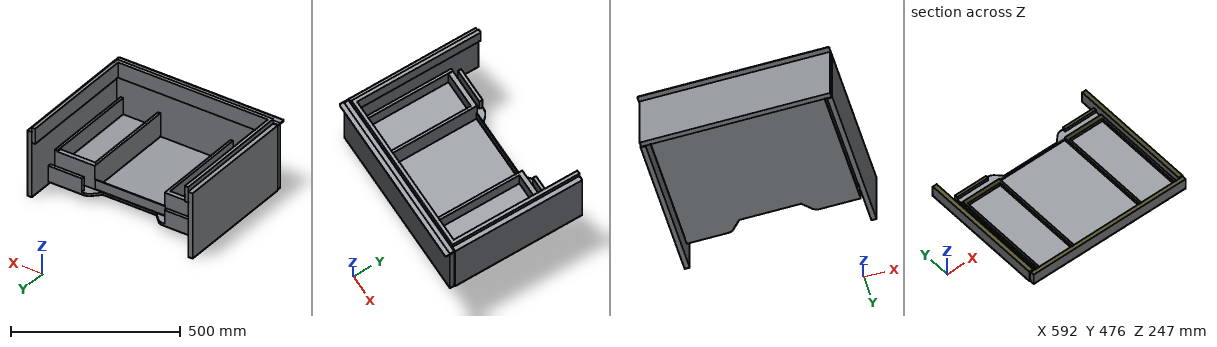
import cadquery as cq

WIDTH = 592.0
DEPTH = 476.0
HEIGHT = 247.0
CENTRE_X = WIDTH / 2

SIDE_THICK = 16.0
SIDE_HEIGHT = 231.0
CABINET_FRONT = 34.0
FRAME_THICK = 12.0
FRAME_DROP = 54.0

FRONT_GAP = 2.1
FRONT_BACK = CABINET_FRONT - FRONT_GAP
FRONT_FACE = 16.5
FRONT_INSET = 2.5
HANDLE_THICK = 3.0
HANDLE_CORNER = 5.0

TRAY_SIDE_X = SIDE_THICK + FRAME_THICK
TRAY_BACK = 373.5
WALL_THICK = 9.0
SIDE_WALL_TOP = 117.0
BOX_TOP = 113.5
BOX_WIDTH = 142.5
BOX_BACK_THICK = 16.0
BOX_FLOOR_TOP = 59.0
BOX_FLOOR_THICK = WALL_THICK
LOW_BACK_TOP = 66.0
LOW_BACK_THICK = 2.5

BASE_TOP = 31.0
BASE_THICK = WALL_THICK
WING_BACK = 407.0
WING_TIP_X = 200.5
WING_CORNER_X = WING_TIP_X - (WING_BACK - TRAY_BACK)
WING_RADIUS = 29.5
RAIL_LENGTH = 120.0
RAIL_THICK = 11.0
RAIL_TOP = 79.0


def block(x0, x1, y0, y1, z0, z1):
    """Rectangular block between two opposite corners."""
    return cq.Workplane("XY").box(x1 - x0, y1 - y0, z1 - z0, centered=False).translate((x0, y0, z0))


def mirrored(shape):
    """Copy of a left-hand shape on the right-hand side of the cabinet."""
    return shape.mirror("YZ", (CENTRE_X, 0, 0))


def make_side_panel():
    """Left cabinet side, a plain board."""
    return block(0, SIDE_THICK, CABINET_FRONT, DEPTH, 0, SIDE_HEIGHT)


def make_frame():
    """Top frame, open at the back, standing above the side panels."""
    outer = block(SIDE_THICK, WIDTH - SIDE_THICK, CABINET_FRONT, DEPTH, HEIGHT - FRAME_DROP, HEIGHT)
    opening = block(
        TRAY_SIDE_X, WIDTH - TRAY_SIDE_X, CABINET_FRONT + FRAME_THICK, DEPTH, HEIGHT - FRAME_DROP, HEIGHT
    )
    return outer.cut(opening)


def make_front_panel():
    """Drawer front, set in slightly from both ends of the handle."""
    return block(FRONT_INSET, WIDTH - FRONT_INSET, FRONT_FACE, FRONT_BACK, 0, SIDE_HEIGHT - HANDLE_THICK)


def make_handle():
    """Thin plate overhanging the drawer front, with rounded front corners."""
    plate = block(0, WIDTH, 0, FRONT_BACK, SIDE_HEIGHT - HANDLE_THICK, SIDE_HEIGHT)
    return plate.edges("|Z and <Y").fillet(HANDLE_CORNER)


def make_compartment():
    """Left compartment: partition, thick back wall and raised floor."""
    inner_x = TRAY_SIDE_X + BOX_WIDTH
    outer = block(TRAY_SIDE_X + WALL_THICK, inner_x, FRONT_BACK, TRAY_BACK, BASE_TOP, BOX_TOP)
    hollow_sides = (TRAY_SIDE_X + WALL_THICK, inner_x - WALL_THICK)
    hollow_ends = (FRONT_BACK, TRAY_BACK - BOX_BACK_THICK)
    above_floor = block(*hollow_sides, *hollow_ends, BOX_FLOOR_TOP, BOX_TOP)
    below_floor = block(*hollow_sides, *hollow_ends, BASE_TOP, BOX_FLOOR_TOP - BOX_FLOOR_THICK)
    return outer.cut(above_floor).cut(below_floor)


def make_tray():
    """Drawer walls and compartments, joined across the back by a low thin wall."""
    side_wall = block(
        TRAY_SIDE_X, TRAY_SIDE_X + WALL_THICK, FRONT_BACK, TRAY_BACK, BASE_TOP, SIDE_WALL_TOP
    )
    left_half = side_wall.union(make_compartment())
    middle_x = TRAY_SIDE_X + BOX_WIDTH
    low_back = block(
        middle_x, WIDTH - middle_x, TRAY_BACK - LOW_BACK_THICK, TRAY_BACK, BASE_TOP, LOW_BACK_TOP
    )
    return left_half.union(low_back).union(mirrored(left_half))


def make_wing():
    """Left rear wing of the base, sloped and rounded at its inner corner, with its upright rail."""
    wing = (
        cq.Workplane("XY", origin=(0, 0, BASE_TOP - BASE_THICK))
        .moveTo(TRAY_SIDE_X, TRAY_BACK)
        .lineTo(WING_TIP_X, TRAY_BACK)
        .lineTo(WING_CORNER_X, WING_BACK)
        .lineTo(TRAY_SIDE_X, WING_BACK)
        .close()
        .extrude(BASE_THICK)
        .edges("|Z")
        .edges(cq.selectors.NearestToPointSelector((WING_CORNER_X, WING_BACK, BASE_TOP)))
        .fillet(WING_RADIUS)
    )
    rail = block(
        TRAY_SIDE_X, TRAY_SIDE_X + RAIL_LENGTH, WING_BACK - RAIL_THICK, WING_BACK, BASE_TOP, RAIL_TOP
    )
    return wing.union(rail)


def make_base():
    """Drawer floor board with both rear wings."""
    floor = block(
        TRAY_SIDE_X, WIDTH - TRAY_SIDE_X, FRONT_BACK, TRAY_BACK, BASE_TOP - BASE_THICK, BASE_TOP
    )
    wing = make_wing()
    return floor.union(wing).union(mirrored(wing))


left_side_panel = make_side_panel()
side_panels = [left_side_panel, mirrored(left_side_panel)]
frame = make_frame()
front_panel = make_front_panel()
handle = make_handle()
tray = make_tray()
base = make_base()

result = cq.Compound.makeCompound(
    [
        *[panel.val() for panel in side_panels],
        frame.val(),
        front_panel.val(),
        handle.val(),
        tray.val(),
        base.val(),
    ]
)